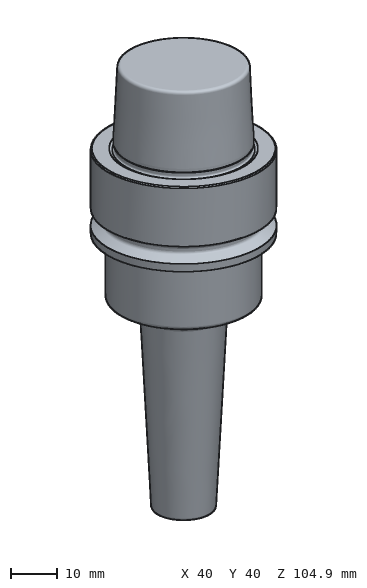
import cadquery as cq
import math

SHANK_LENGTH = 19.9
SHANK_TIP_ROUND = 0.8
SHANK_BASE_RADIUS = 15.15
SHANK_BASE_HEIGHT = 2.1
SHANK_TAPER = 1 / 20

NECK_RADIUS = 14.85
NECK_TOP_HEIGHT = 1.3
NECK_CHAMFER = 0.3
NECK_FOOT_HEIGHT = 0.25
RELIEF_RADIUS = 16
RELIEF_DEPTH = 0.25
RELIEF_SLOPE_WIDTH = 0.65

FLANGE_RADIUS = 20
FLANGE_HEIGHT = 20
FLANGE_CHAMFER = 0.3

GROOVE_CENTER_DEPTH = 16.1
GROOVE_FLOOR_RADIUS = 17.4
GROOVE_MOUTH_WIDTH = 4.1
GROOVE_WALL_ANGLE = 27
GROOVE_ROUND = 0.65

COLLAR_RADIUS = 16.85
COLLAR_BOTTOM_DEPTH = 35.1
COLLAR_ROUND = 1

NOSE_TIP_RADIUS = 7
NOSE_TIP_DEPTH = 85
NOSE_TIP_ROUND = 0.8
NOSE_HALF_ANGLE = 3
NOSE_TOP_DEPTH = 38.5
NOSE_TOP_ROUND = 0.9

EDGE_TOLERANCE = 0.01


def tan_degrees(angle):
    return math.tan(math.radians(angle))


shank_tip_radius = SHANK_BASE_RADIUS - SHANK_TAPER * (SHANK_LENGTH - SHANK_BASE_HEIGHT)
groove_wall_drop = (FLANGE_RADIUS - GROOVE_FLOOR_RADIUS) * tan_degrees(GROOVE_WALL_ANGLE)
groove_top = -GROOVE_CENTER_DEPTH + GROOVE_MOUTH_WIDTH / 2
groove_bottom = -GROOVE_CENTER_DEPTH - GROOVE_MOUTH_WIDTH / 2
groove_floor_top = groove_top - groove_wall_drop
groove_floor_bottom = groove_bottom + groove_wall_drop
nose_top_radius = NOSE_TIP_RADIUS + (NOSE_TIP_DEPTH - NOSE_TOP_DEPTH) * tan_degrees(NOSE_HALF_ANGLE)


def make_turned_body():
    """Revolve the (radius, height) outline, from the shank tip down to the nose tip."""
    outline = (
        cq.Workplane("XZ")
        .moveTo(0, SHANK_LENGTH)
        .lineTo(shank_tip_radius, SHANK_LENGTH)
        .lineTo(SHANK_BASE_RADIUS, SHANK_BASE_HEIGHT)
        .lineTo(SHANK_BASE_RADIUS, NECK_TOP_HEIGHT)
        .lineTo(NECK_RADIUS, NECK_TOP_HEIGHT - NECK_CHAMFER)
        .lineTo(NECK_RADIUS, NECK_FOOT_HEIGHT)
        .tangentArcPoint((RELIEF_RADIUS - RELIEF_SLOPE_WIDTH, -RELIEF_DEPTH), relative=False)
        .lineTo(RELIEF_RADIUS, 0)
        .lineTo(FLANGE_RADIUS - FLANGE_CHAMFER, 0)
        .lineTo(FLANGE_RADIUS, -FLANGE_CHAMFER)
        .lineTo(FLANGE_RADIUS, groove_top)
        .lineTo(GROOVE_FLOOR_RADIUS, groove_floor_top)
        .lineTo(GROOVE_FLOOR_RADIUS, groove_floor_bottom)
        .lineTo(FLANGE_RADIUS, groove_bottom)
        .lineTo(FLANGE_RADIUS, -FLANGE_HEIGHT)
        .lineTo(COLLAR_RADIUS, -FLANGE_HEIGHT)
        .lineTo(COLLAR_RADIUS, -COLLAR_BOTTOM_DEPTH)
        .lineTo(nose_top_radius, -NOSE_TOP_DEPTH)
        .lineTo(NOSE_TIP_RADIUS, -NOSE_TIP_DEPTH)
        .lineTo(0, -NOSE_TIP_DEPTH)
        .close()
    )
    return outline.revolve(360, (0, 0, 0), (0, 1, 0))


def round_rim(body, rim_radius, height, round_radius):
    """Fillet the circular edge that has the given radius and height."""
    reach = rim_radius + EDGE_TOLERANCE
    rim_box = cq.selectors.BoxSelector(
        (-reach, -reach, height - EDGE_TOLERANCE),
        (reach, reach, height + EDGE_TOLERANCE),
        boundingbox=True,
    )
    return body.edges(rim_box).fillet(round_radius)


result = make_turned_body()
for rim_radius, height, round_radius in (
    (shank_tip_radius, SHANK_LENGTH, SHANK_TIP_ROUND),
    (GROOVE_FLOOR_RADIUS, groove_floor_top, GROOVE_ROUND),
    (GROOVE_FLOOR_RADIUS, groove_floor_bottom, GROOVE_ROUND),
    (COLLAR_RADIUS, -COLLAR_BOTTOM_DEPTH, COLLAR_ROUND),
    (nose_top_radius, -NOSE_TOP_DEPTH, NOSE_TOP_ROUND),
    (NOSE_TIP_RADIUS, -NOSE_TIP_DEPTH, NOSE_TIP_ROUND),
):
    result = round_rim(result, rim_radius, height, round_radius)